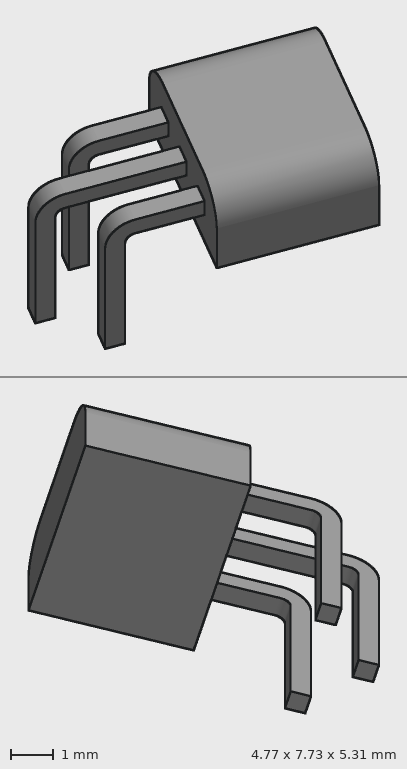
import cadquery as cq

housing_width = 4.77
housing_length = 4.005
housing_height = 2.41
housing_corner_radius = 1.0

overall_length = 7.73
overall_height = 5.31
lead_size = 0.495
lead_pitch = 1.275
lead_top_drop = 0.96
bend_inner_radius = 0.25
bend_outer_radius = bend_inner_radius + lead_size

lead_top = housing_height - lead_top_drop
lead_tip = housing_height - overall_height
middle_lead_reach = overall_length - housing_length
side_lead_reach = middle_lead_reach - lead_pitch


def make_housing():
    """Block with its two long top edges rounded."""
    return (
        cq.Workplane("XY")
        .box(housing_width, housing_length, housing_height, centered=(True, False, False))
        .edges("|Y and >Z")
        .fillet(housing_corner_radius)
    )


def make_lead(x_center, reach):
    """Lead running from the housing face toward -Y, then bending down to its tip."""
    lead_bottom = lead_top - lead_size
    inner_face = lead_size - reach
    return (
        cq.Workplane("YZ", origin=(x_center, 0, 0))
        .moveTo(0, lead_top)
        .lineTo(bend_outer_radius - reach, lead_top)
        .radiusArc((-reach, lead_top - bend_outer_radius), -bend_outer_radius)
        .lineTo(-reach, lead_tip)
        .lineTo(inner_face, lead_tip)
        .lineTo(inner_face, lead_bottom - bend_inner_radius)
        .radiusArc((inner_face + bend_inner_radius, lead_bottom), bend_inner_radius)
        .lineTo(0, lead_bottom)
        .close()
        .extrude(lead_size / 2, both=True)
    )


housing = make_housing()

leads = []
for position in (-1, 0, 1):
    reach = middle_lead_reach if position == 0 else side_lead_reach
    leads.append(make_lead(position * lead_pitch, reach).val())

result = cq.Compound.makeCompound([housing.val(), *leads])